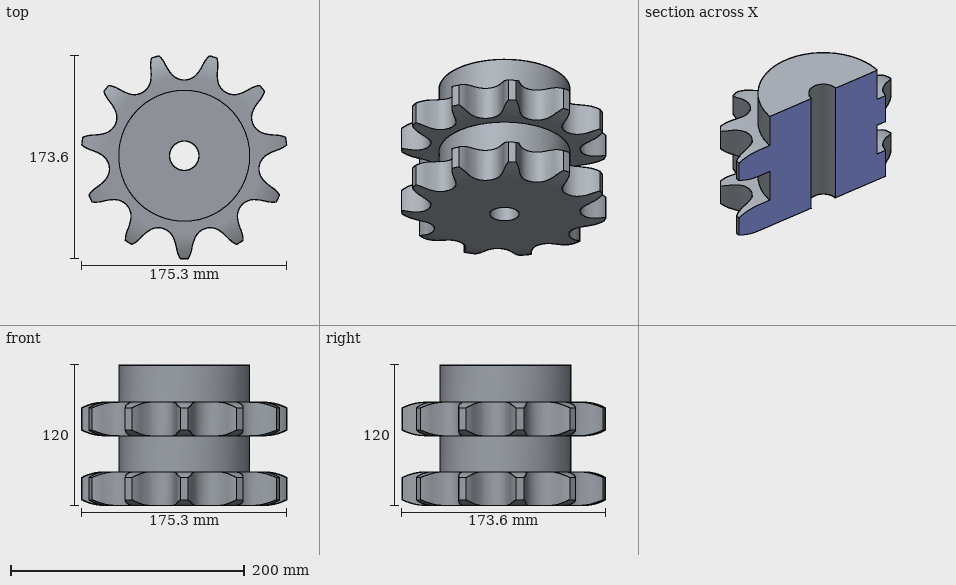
import cadquery as cq
import math


tooth_count = 11
chain_pitch = 44.45
roller_diameter = 27.94
strand_spacing = 59.56

tip_diameter = 176.3
hub_diameter = 112.0
bore_diameter = 25.0
total_height = 120.0
rim_thickness = 28.8

side_relief_depth = 4.9
side_relief_radius = chain_pitch

cutter_clearance = 5.0

tip_radius = tip_diameter / 2
half_tooth_angle = math.pi / tooth_count
pitch_radius = chain_pitch / 2 / math.sin(half_tooth_angle)

seating_radius = 0.5025 * roller_diameter + 0.038
seating_angle = math.radians(35 + 60 / tooth_count)
working_angle = math.radians(18 - 56 / tooth_count)
working_offset = 0.8 * roller_diameter
working_radius = seating_radius + working_offset
topping_offset = 1.4 * roller_diameter
topping_angle = math.radians(17 - 64 / tooth_count)
topping_radius = (
    roller_diameter * (0.8 * math.cos(working_angle) + 1.4 * math.cos(topping_angle) - 1.3025) - 0.038
)


def polar(center, radius, angle):
    """Point at a radius and angle (radians) from a center point."""
    return center[0] + radius * math.cos(angle), center[1] + radius * math.sin(angle)


def tip_crossing_angle(arc_center, arc_radius):
    """Angle, seen from the arc center, where a left-hand flank arc meets the tip circle."""
    distance = math.hypot(*arc_center)
    cosine = (tip_radius**2 - distance**2 - arc_radius**2) / (2 * distance * arc_radius)
    return math.atan2(arc_center[1], arc_center[0]) - math.acos(cosine)


def left_flank():
    """Arcs of the left half of a tooth gap on the +Y axis, as (start, middle, end), from root to tip."""
    roller_center = (0, pitch_radius)
    working_center = polar(roller_center, working_offset, seating_angle)
    topping_center = polar(roller_center, topping_offset, math.pi + half_tooth_angle)

    root_angle = math.pi * 3 / 2
    seating_end = math.pi + seating_angle
    working_end = seating_end - working_angle
    topping_start = seating_angle - working_angle
    topping_end = tip_crossing_angle(topping_center, topping_radius)

    arcs = [
        (roller_center, seating_radius, root_angle, seating_end),
        (working_center, working_radius, seating_end, working_end),
        (topping_center, topping_radius, topping_start, topping_end),
    ]
    return [
        [polar(center, radius, angle) for angle in (start, (start + end) / 2, end)]
        for center, radius, start, end in arcs
    ]


def tooth_gap(height):
    """Cutter for one tooth gap on the +Y axis, open beyond the tip circle."""
    seating, working, topping = left_flank()
    clear_y = tip_radius + cutter_clearance

    def mirrored(point):
        return -point[0], point[1]

    return (
        cq.Workplane("XY")
        .moveTo(*seating[0])
        .threePointArc(*seating[1:])
        .threePointArc(*working[1:])
        .lineTo(*topping[0])
        .threePointArc(*topping[1:])
        .lineTo(topping[2][0], clear_y)
        .lineTo(-topping[2][0], clear_y)
        .lineTo(*mirrored(topping[2]))
        .threePointArc(mirrored(topping[1]), mirrored(topping[0]))
        .lineTo(*mirrored(working[2]))
        .threePointArc(mirrored(working[1]), mirrored(working[0]))
        .threePointArc(mirrored(seating[1]), mirrored(seating[0]))
        .close()
        .extrude(height)
    )


def rim_blank():
    """Disc with both side faces curving inward, tangent to the flat face, up to the tip circle."""

    def relief_width(depth):
        return math.sqrt(side_relief_radius**2 - (side_relief_radius - depth) ** 2)

    relief_start = tip_radius - relief_width(side_relief_depth)
    middle_depth = side_relief_depth / 4
    relief_middle = relief_start + relief_width(middle_depth)
    return (
        cq.Workplane("XZ")
        .lineTo(relief_start, 0)
        .threePointArc((relief_middle, middle_depth), (tip_radius, side_relief_depth))
        .lineTo(tip_radius, rim_thickness - side_relief_depth)
        .threePointArc((relief_middle, rim_thickness - middle_depth), (relief_start, rim_thickness))
        .lineTo(0, rim_thickness)
        .close()
        .revolve(360, (0, 0, 0), (0, 1, 0))
    )


def toothed_rim():
    """One row of teeth, with a tooth gap on +Y and its underside at Z = 0."""
    rim = rim_blank()
    gap = tooth_gap(rim_thickness)
    for index in range(tooth_count):
        rim = rim.cut(gap.rotate((0, 0, 0), (0, 0, 1), index * 360 / tooth_count))
    return rim


hub = cq.Workplane("XY").circle(hub_diameter / 2).extrude(total_height)
bore = cq.Workplane("XY").circle(bore_diameter / 2).extrude(total_height)

lower_rim = toothed_rim()
upper_rim = lower_rim.translate((0, 0, strand_spacing))

result = hub.union(lower_rim).union(upper_rim).cut(bore)